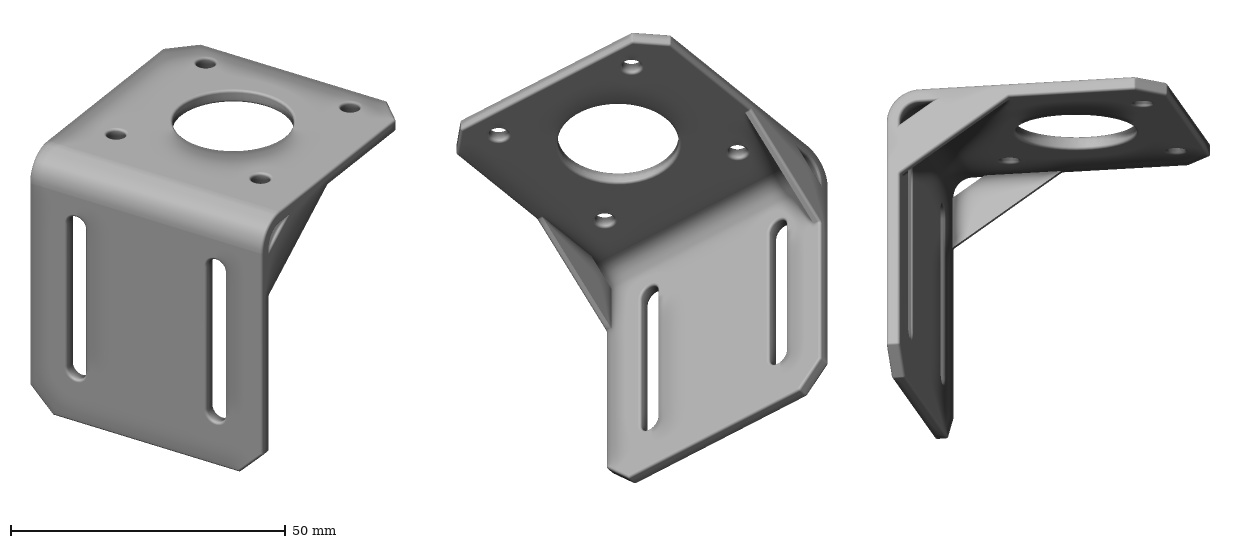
import cadquery as cq

width = 50.0
depth = 51.2
height = 53.25
thickness = 2.5
bend_radius = 6.0
corner_cut = 5.0
edge_radius = 0.5

bore_diameter = 22.1
screw_diameter = 3.5
screw_spacing = 31.0
bore_to_back = 21.0

slot_width = 4.0
slot_travel = 30.0
slot_spacing = 30.0
slot_centre_to_bottom = 26.0

rib_thickness = 1.35
rib_depth = 20.25
rib_height = 13.4
window_depth = 5.9
window_height = window_depth * rib_height / rib_depth

margin = 0.55


def bent_plate():
    inner_radius = bend_radius - thickness
    profile = (
        cq.Workplane("YZ")
        .moveTo(depth, 0)
        .lineTo(bend_radius, 0)
        .radiusArc((0, -bend_radius), -bend_radius)
        .lineTo(0, -height)
        .lineTo(thickness, -height)
        .lineTo(thickness, -bend_radius)
        .radiusArc((bend_radius, -thickness), inner_radius)
        .lineTo(depth, -thickness)
        .close()
    )
    return profile.extrude(width / 2, both=True)


def rib(side):
    """Diagonal strut flush with one side; side is -1 or +1 along X."""
    outer_x = side * width / 2
    strut = (
        cq.Workplane("YZ", origin=(outer_x, 0, 0))
        .moveTo(thickness + window_depth, -thickness)
        .lineTo(thickness + rib_depth, -thickness)
        .lineTo(thickness, -thickness - rib_height)
        .lineTo(thickness, -thickness - window_height)
        .close()
    )
    return strut.extrude(-side * rib_thickness)


def corner_wedge(plane, side, end):
    """Triangular cutter for a free corner; end is where the plate stops on the plane's second axis."""
    inward = -1 if end > 0 else 1
    corner_x = side * width / 2
    wedge = (
        cq.Workplane(plane)
        .moveTo(corner_x, end)
        .lineTo(corner_x - side * corner_cut, end)
        .lineTo(corner_x, end + inward * corner_cut)
        .close()
    )
    return wedge.extrude(thickness + margin, both=True)


def round_rib_feet(body):
    """Blend the outer ends of both ribs into the inner faces of the plates."""
    foot_points = [
        (thickness + rib_depth, -thickness),
        (thickness, -thickness - rib_height),
    ]
    for y, z in foot_points:
        near_foot = cq.selectors.BoxSelector(
            (-width, y - margin, z - margin),
            (width, y + margin, z + margin),
        )
        body = body.edges("|X").edges(near_foot).fillet(edge_radius)
    return body


def round_rim(body):
    """Round every edge of the side outlines, free ends and corner cuts."""
    side_edges = body.faces("<X or >X").edges()
    end_edges = body.faces(">Y or <Z").edges()
    cut_edges = body.edges("|(1,1,0) or |(-1,1,0) or |(1,0,1) or |(-1,0,1)")
    return side_edges.add(end_edges).add(cut_edges).fillet(edge_radius)


def rounded_hole(x, y, diameter):
    """Cutter for a hole through the motor plate, rounded at both rims."""
    radius = diameter / 2
    half_section = (
        cq.Workplane("XZ", origin=(x, y, 0))
        .lineTo(radius + edge_radius, 0)
        .radiusArc((radius, -edge_radius), -edge_radius)
        .lineTo(radius, edge_radius - thickness)
        .radiusArc((radius + edge_radius, -thickness), -edge_radius)
        .lineTo(0, -thickness)
        .close()
    )
    return half_section.revolve(360, (0, 0, 0), (0, 1, 0))


def cut_slots(body):
    """Cut the vertical slots through the mounting plate and round their rims on both faces."""
    slots = (
        cq.Workplane("XZ", origin=(0, 0, slot_centre_to_bottom - height))
        .pushPoints([(-slot_spacing / 2, 0), (slot_spacing / 2, 0)])
        .slot2D(slot_travel + slot_width, slot_width, 90)
        .extrude(-thickness)
    )
    slot_zone = cq.selectors.BoxSelector(
        (-width / 2 + corner_cut, -margin, -height + corner_cut),
        (width / 2 - corner_cut, thickness + margin, -bend_radius - margin),
        boundingbox=True,
    )
    return body.cut(slots).edges("not |Y").edges(slot_zone).fillet(edge_radius)


body = bent_plate()
for side in (-1, 1):
    body = body.union(rib(side))
    body = body.cut(corner_wedge("XY", side, depth))
    body = body.cut(corner_wedge("XZ", side, -height))
body = round_rim(round_rib_feet(body))

bore_y = depth - bore_to_back
body = body.cut(rounded_hole(0, bore_y, bore_diameter))
for side in (-1, 1):
    for row in (-1, 1):
        screw_x = side * screw_spacing / 2
        screw_y = bore_y + row * screw_spacing / 2
        body = body.cut(rounded_hole(screw_x, screw_y, screw_diameter))
body = cut_slots(body)

result = body